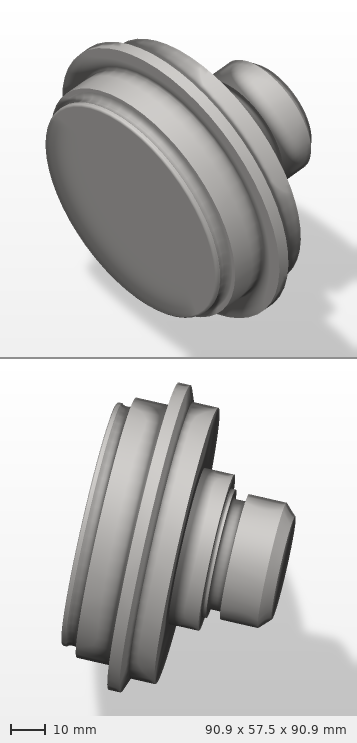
import cadquery as cq
import math


lip_radius = 36.0
lip_edge_round = 0.7
lip_back = 1.45

groove_radius = 35.4
groove_round = 1.7

pilot_radius = 38.5
pilot_front = 5.0
pilot_fillet = 0.7

flange_radius = 45.455
flange_front = 16.0
flange_rim_back = 19.6
flange_cone_back = 21.4

disc_radius = 40.9
disc_back = 28.85
boss_radius = 23.1
boss_back = 37.65
collar_radius = 19.0
collar_back = 39.0

neck_radius = 16.3
neck_fillet = 0.8
stem_radius = 18.55
stem_front = 43.0
stem_chamfer = 3.3
total_length = 57.45


def add_round(profile, start, end, center, radius):
    """Append a circular arc about `center` from the current point `start` to `end`."""
    start_angle = math.atan2(start[1] - center[1], start[0] - center[0])
    end_angle = math.atan2(end[1] - center[1], end[0] - center[0])
    sweep = math.remainder(end_angle - start_angle, 2 * math.pi)
    middle_angle = start_angle + sweep / 2
    middle = (
        center[0] + radius * math.cos(middle_angle),
        center[1] + radius * math.sin(middle_angle),
    )
    return profile.threePointArc(middle, end)


def add_lip_and_groove(profile):
    """Front face, rounded lip and the groove up to the pilot shoulder."""
    face_edge = (lip_radius - lip_edge_round, 0)
    lip_front = (lip_radius, lip_edge_round)
    profile = profile.lineTo(*face_edge)
    edge_center = (face_edge[0], lip_front[1])
    profile = add_round(profile, face_edge, lip_front, edge_center, lip_edge_round)
    profile = profile.lineTo(lip_radius, lip_back)

    round_center_radius = groove_radius + groove_round
    front_center_depth = lip_back + math.sqrt(groove_round**2 - (round_center_radius - lip_radius) ** 2)
    floor_front = (groove_radius, front_center_depth)
    front_center = (round_center_radius, front_center_depth)
    profile = add_round(profile, (lip_radius, lip_back), floor_front, front_center, groove_round)

    floor_back = (groove_radius, pilot_front - groove_round)
    shoulder = (round_center_radius, pilot_front)
    back_center = (round_center_radius, floor_back[1])
    profile = profile.lineTo(*floor_back)
    return add_round(profile, floor_back, shoulder, back_center, groove_round)


def add_pilot_and_flange(profile):
    """Pilot cylinder, its fillet into the flange, and the conical flange back."""
    fillet_start = (pilot_radius, flange_front - pilot_fillet)
    fillet_end = (pilot_radius + pilot_fillet, flange_front)
    fillet_center = (fillet_end[0], fillet_start[1])
    profile = profile.lineTo(pilot_radius, pilot_front).lineTo(*fillet_start)
    profile = add_round(profile, fillet_start, fillet_end, fillet_center, pilot_fillet)
    profile = profile.lineTo(flange_radius, flange_front).lineTo(flange_radius, flange_rim_back)
    return profile.lineTo(disc_radius, flange_cone_back)


def add_hub_steps(profile):
    """Disc, boss and thin collar, each a step smaller than the last."""
    profile = profile.lineTo(disc_radius, disc_back)
    profile = profile.lineTo(boss_radius, disc_back).lineTo(boss_radius, boss_back)
    return profile.lineTo(collar_radius, boss_back).lineTo(collar_radius, collar_back)


def add_stem(profile):
    """Filleted neck followed by the stem and its end chamfer."""
    fillet_outer_radius = neck_radius + neck_fillet
    neck_entry = (fillet_outer_radius, collar_back)
    neck_front = (neck_radius, collar_back + neck_fillet)
    neck_back = (neck_radius, stem_front - neck_fillet)
    neck_exit = (fillet_outer_radius, stem_front)
    front_center = (fillet_outer_radius, neck_front[1])
    back_center = (fillet_outer_radius, neck_back[1])

    profile = profile.lineTo(*neck_entry)
    profile = add_round(profile, neck_entry, neck_front, front_center, neck_fillet)
    profile = profile.lineTo(*neck_back)
    profile = add_round(profile, neck_back, neck_exit, back_center, neck_fillet)

    profile = profile.lineTo(stem_radius, stem_front)
    profile = profile.lineTo(stem_radius, total_length - stem_chamfer)
    profile = profile.lineTo(stem_radius - stem_chamfer, total_length)
    return profile.lineTo(0, total_length)


half_profile = cq.Workplane("ZY").moveTo(0, 0)
half_profile = add_lip_and_groove(half_profile)
half_profile = add_pilot_and_flange(half_profile)
half_profile = add_hub_steps(half_profile)
half_profile = add_stem(half_profile)

result = half_profile.close().revolve(360, (0, 0, 0), (0, 1, 0))